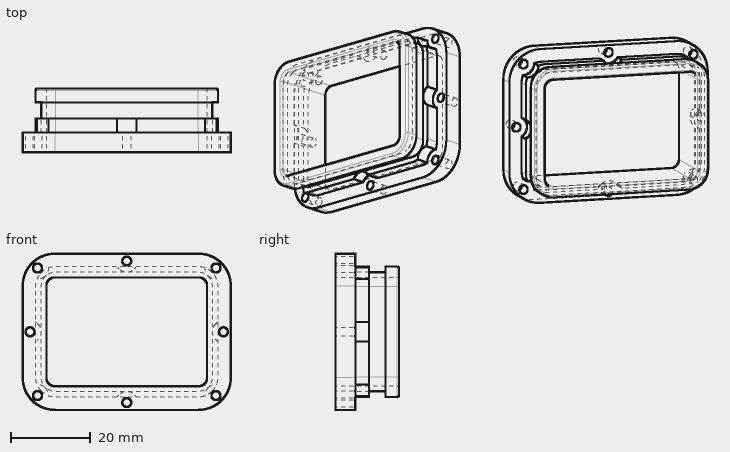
import cadquery as cq

flange_width = 52.2
flange_height = 39.2
flange_thickness = 5.0
flange_radius = 8.1

sleeve_inset = 3.25
sleeve_width = flange_width - 2 * sleeve_inset
sleeve_height = flange_height - 2 * sleeve_inset
sleeve_radius = 5.05
total_depth = 16.0
collar_length = 3.5
lip_length = 3.5
lip_edge_radius = 0.5
groove_depth = 1.4

frame_width = 6.0
window_radius = 2.05

hole_diameter = 2.2
relief_radius = 2.75
edge_hole_inset = 1.9
corner_hole_x = 22.35
corner_hole_z = 15.95


def rounded_block(width, height, radius, start, length):
    """Block centred on the Y axis, rounded in XZ, running toward +Y from start."""
    return (
        cq.Workplane("XY")
        .box(width, length, height, centered=(True, False, True))
        .edges("|Y")
        .fillet(radius)
        .translate((0, start, 0))
    )


def cylinders_at(points, radius, start, length):
    """Cylinders along +Y from start, one at each (x, z) point."""
    return (
        cq.Workplane("XZ", origin=(0, start, 0))
        .pushPoints(points)
        .circle(radius)
        .extrude(-length)
    )


edge_hole_x = flange_width / 2 - edge_hole_inset
edge_hole_z = flange_height / 2 - edge_hole_inset
screw_points = [(-edge_hole_x, 0), (edge_hole_x, 0), (0, -edge_hole_z), (0, edge_hole_z)]
for x_side in (-1, 1):
    for z_side in (-1, 1):
        screw_points.append((x_side * corner_hole_x, z_side * corner_hole_z))

flange = rounded_block(flange_width, flange_height, flange_radius, 0, flange_thickness)
flange = flange.cut(cylinders_at(screw_points, hole_diameter / 2, 0, flange_thickness))

collar = rounded_block(sleeve_width, sleeve_height, sleeve_radius, flange_thickness, collar_length)
collar = collar.cut(cylinders_at(screw_points, relief_radius, flange_thickness, collar_length))

core = rounded_block(
    sleeve_width - 2 * groove_depth,
    sleeve_height - 2 * groove_depth,
    sleeve_radius - groove_depth,
    flange_thickness,
    total_depth - flange_thickness,
)

lip = rounded_block(sleeve_width, sleeve_height, sleeve_radius, total_depth - lip_length, lip_length)

window = rounded_block(
    flange_width - 2 * frame_width,
    flange_height - 2 * frame_width,
    window_radius,
    0,
    total_depth,
)

result = flange.union(collar).union(core).union(lip).cut(window)

result = result.faces(">Y").edges().fillet(lip_edge_radius)